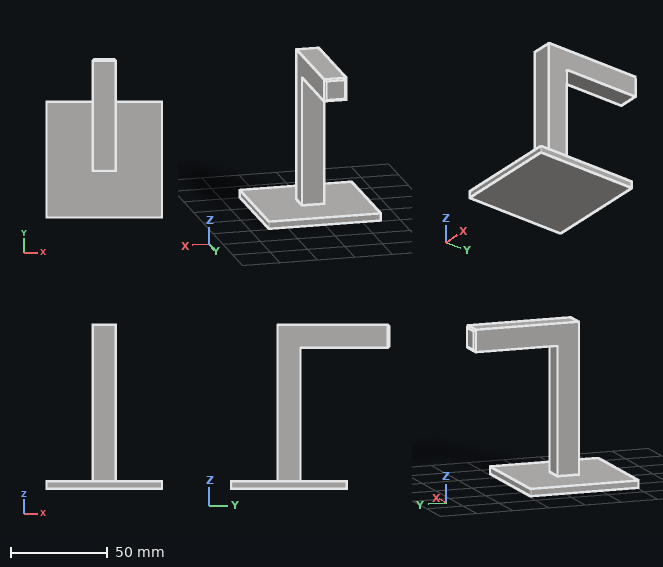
import cadquery as cq
plate_side = 60.0
plate_thickness = 4.0
plate_corner_radius = 0.5

bar_side = 12.0
total_height = 85.0
arm_end_y = 52.0
arm_end_chamfer = 1.0
elbow_radius = 0.5

foot_height = 0.1

edge_bevel = 0.1

post_front_y = -bar_side / 2
post_back_y = bar_side / 2
post_bottom_z = plate_thickness + foot_height
arm_bottom_z = total_height - bar_side


def make_plate():
    """Square plate with rounded corners and bevelled rims."""
    plate = cq.Workplane("XY").box(plate_side, plate_side, plate_thickness, centered=(True, True, False))
    plate = plate.edges("|Z").fillet(plate_corner_radius)
    return plate.faces("<Z or >Z").chamfer(edge_bevel)


def make_foot():
    """Thin sharp-edged square step between the plate and the bevelled lower end of the post."""
    foot = cq.Workplane("XY").box(bar_side, bar_side, foot_height, centered=(True, True, False))
    return foot.translate((0, 0, plate_thickness))


def make_sharp_bar():
    """L-shaped square bar with rounded elbow: post on the foot, arm towards +Y."""
    bar = (
        cq.Workplane("YZ")
        .moveTo(post_front_y, post_bottom_z)
        .lineTo(post_front_y, total_height)
        .lineTo(arm_end_y, total_height)
        .lineTo(arm_end_y, arm_bottom_z)
        .lineTo(post_back_y, arm_bottom_z)
        .lineTo(post_back_y, post_bottom_z)
        .close()
        .extrude(bar_side / 2, both=True)
    )
    outer_elbow = cq.selectors.NearestToPointSelector((0, post_front_y, total_height))
    inner_elbow = cq.selectors.NearestToPointSelector((0, post_back_y, arm_bottom_z))
    return bar.edges(outer_elbow + inner_elbow).fillet(elbow_radius)


def make_bar():
    """Bar with bevelled long and lower edges and a tapered free end."""
    sharp_bar = make_sharp_bar()
    tapered_bar = sharp_bar.faces(">Y").chamfer(arm_end_chamfer)
    end_edges = sharp_bar.faces(">Y").edges().vals()
    outer_edges = sharp_bar.faces("<X or >X or <Z").edges().vals()
    bevelled_edges = [edge for edge in outer_edges if edge not in end_edges]
    bevelled_bar = sharp_bar.newObject(bevelled_edges).chamfer(edge_bevel)
    return tapered_bar.intersect(bevelled_bar)


result = make_plate().union(make_foot()).union(make_bar())